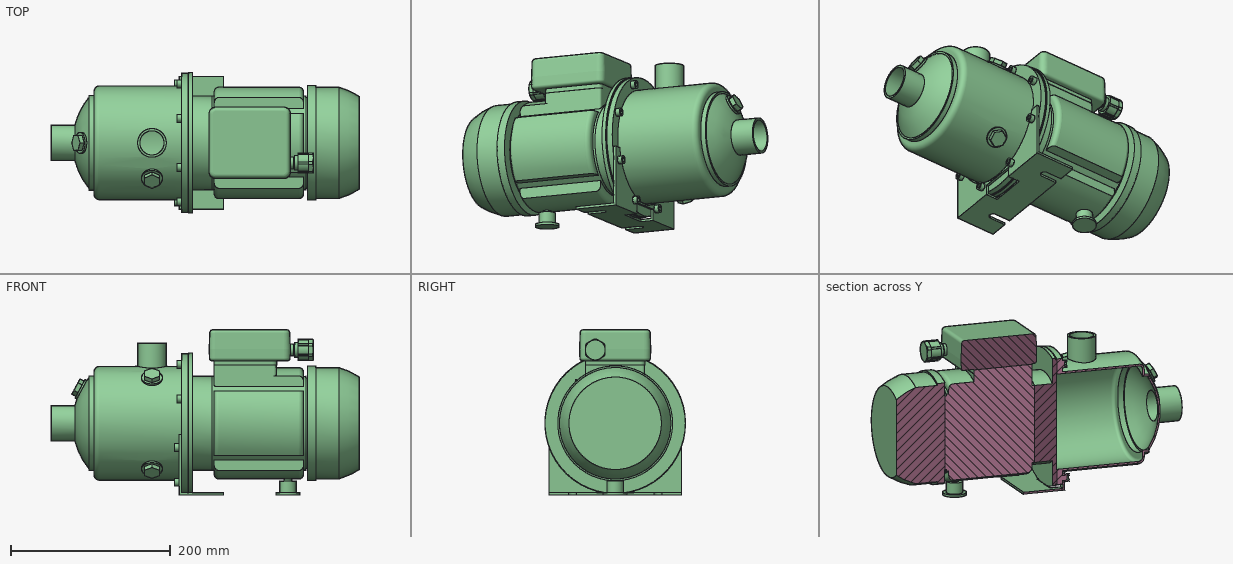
import cadquery as cq
import math


INLET_OD = 44.5
INLET_ID = 38.95
WALL = (INLET_OD - INLET_ID) / 2
OUTLET_OD = 36.0
OUTLET_ID = 30.29
OUTLET_X = 126.5
OUTLET_TOP_Z = 100.5
DOME_RADIUS = 90.0
DOME_CENTER_X = 117.0
DOME_D = 114.0
STEP_D = 119.0
SHELL_D = 143.0
SHELL_FRONT_X = 53.8
SHELL_FILLET = 7.0

CASING_FLANGE_D = 175.0
LANTERN_FLANGE_D = 176.5
FLANGE_X = 163.6
CASING_FLANGE_T = 7.9
SEAL_T = 1.0
SEAL_D = 173.0
LANTERN_FLANGE_T = 5.0
LANTERN_FLANGE_X = FLANGE_X + CASING_FLANGE_T + SEAL_T
LANTERN_FLANGE_END = LANTERN_FLANGE_X + LANTERN_FLANGE_T
SCREW_COUNT = 8
SCREW_CIRCLE_D = 160.0
SCREW_HEAD_D = 10.0
SCREW_HEAD_H = 6.0
SCREW_SHANK_D = 7.0
SCREW_SOCKET_AF = 5.0
SCREW_SOCKET_DEPTH = 3.0

PLUG_HEX_AF = 19.0
PLUG_HEX_H = 6.0
PLUG_WASHER_D = 26.5
PLUG_WASHER_H = 1.5
PLUG_SEAT_DEPTH = 1.5
SIDE_PLUG_ANGLE = 52.0
DOME_PLUG_ANGLE = 28.2

PLATE_T = 3.0
BRACKET_WIDTH = 166.5
BRACKET_TOP_Z = -14.2
FLOOR_Z = -90.0
BRACKET_LENGTH = 55.6
BRACKET_BORE_D = 147.0
NOTCH_WIDTH = 46.0
NOTCH_HEIGHT = 14.4
SLOT_WIDTH = 10.0
SLOT_DEPTH = 27.0
SLOT_Y = 53.7

CORE_D = 118.0
LANTERN_END_X = 201.6
MOTOR_D = 139.8
MOTOR_START_X = 204.5
MOTOR_END_X = 316.6
MOTOR_FILLET = 6.0
SIDE_PANEL_HALF_Z = 40.4
TOP_LOBE_HALF_Y = 37.0
CORE_END_X = 319.6
SPIGOT_D = 114.0
PEDESTAL_START_X = 204.2
PEDESTAL_END_X = 282.5
PEDESTAL_TOP_Z = 72.8
PEDESTAL_CORNER_R = 3.0
GASKET_END_X = 283.0
GASKET_HALF_Y = 37.5
GASKET_CORNER_R = 5.5

COVER_RIM_D = 144.0
COVER_RIM_X = 321.4
COVER_RIM_END_X = 331.9
COVER_D = 139.8
COVER_TAPER_X = 360.8
COVER_END_D = 116.0
COVER_BULGE = 1.2
TOTAL_LENGTH = 386.6

BOX_LENGTH = 102.0
BOX_WIDTH = 89.5
BOX_CENTER_X = 249.1
BOX_BOTTOM_Z = 78.2
BOX_TOP_Z = 117.5
BOX_PARTING_Z = 92.7
BOX_DRAFT = 2.0
BOX_CORNER_R = 8.0
BOX_TOP_FILLET = 4.5
BOX_BOTTOM_FILLET = 3.5
GLAND_Y = -25.0
GLAND_Z = 92.0
GLAND_STEM_D = 15.0
GLAND_GROOVE_D = 13.0
GLAND_COLLAR_D = 18.6
GLAND_GROOVE_X = 303.8
GLAND_COLLAR_X = 305.2
GLAND_NUT_X = 309.7
GLAND_HEX_X = 323.0
GLAND_END_X = 328.8
GLAND_HEX_AF = 25.0
GLAND_CORNER_D = 27.0
GLAND_NUT_D = 25.0
GLAND_RIB_WIDTH = 2.4
GLAND_CHAMFER = 1.0

FOOT_X = 296.9
FOOT_DISC_D = 30.0
FOOT_DISC_T = 3.0
FOOT_BODY_D = 21.0
FOOT_BODY_TOP_Z = -72.6
FOOT_STEM_D = 10.0


def rod(x_start, x_end, diameter, y=0.0, z=0.0):
    """Cylinder parallel to the shaft axis."""
    return (
        cq.Workplane("YZ", origin=(x_start, y, z))
        .circle(diameter / 2)
        .extrude(x_end - x_start)
    )


def pillar(z_start, z_end, diameter, x, y=0.0):
    """Upright cylinder."""
    return cq.Workplane("XY", origin=(x, y, z_start)).circle(diameter / 2).extrude(z_end - z_start)


def block(x_range, y_range, z_range):
    """Axis-aligned box given by its limits."""
    size = [high - low for low, high in (x_range, y_range, z_range)]
    corner = (x_range[0], y_range[0], z_range[0])
    return cq.Workplane("XY").box(*size, centered=False).translate(corner)


def dome_x(sphere_radius, radius):
    """X of the dome sphere at a given distance from the shaft axis."""
    return DOME_CENTER_X - math.sqrt(sphere_radius**2 - radius**2)


def casing_form(pipe_r, sphere_r, dome_r, step_r, shell_r, shell_front_x, corner_r, end_x):
    """Revolved inlet pipe, dome, step and cylindrical shell."""
    middle_r = (pipe_r + dome_r) / 2
    step_x = dome_x(sphere_r, dome_r)
    corner_offset = corner_r * (1 - math.sqrt(0.5))
    profile = (
        cq.Workplane("XY")
        .lineTo(0, pipe_r)
        .lineTo(dome_x(sphere_r, pipe_r), pipe_r)
        .threePointArc((dome_x(sphere_r, middle_r), middle_r), (step_x, dome_r))
        .lineTo(step_x, step_r)
        .lineTo(shell_front_x, step_r)
        .lineTo(shell_front_x, shell_r - corner_r)
        .threePointArc(
            (shell_front_x + corner_offset, shell_r - corner_offset),
            (shell_front_x + corner_r, shell_r),
        )
        .lineTo(end_x, shell_r)
        .lineTo(end_x, 0)
        .close()
    )
    return profile.revolve(360, (0, 0, 0), (1, 0, 0))


def screw_positions():
    """(y, z) of the flange screws, spaced evenly and straddling the vertical plane."""
    pitch = 2 * math.pi / SCREW_COUNT
    for index in range(SCREW_COUNT):
        angle = (index + 0.5) * pitch
        yield SCREW_CIRCLE_D / 2 * math.cos(angle), SCREW_CIRCLE_D / 2 * math.sin(angle)


def screw(y, z):
    """Socket-head screw; the lower ones clamp the bracket plate."""
    seat_x = FLANGE_X - PLATE_T if z < BRACKET_TOP_Z else FLANGE_X
    head_x = seat_x - SCREW_HEAD_H
    socket = (
        cq.Workplane("YZ", origin=(head_x, y, z))
        .transformed(rotate=(0, 0, 90))
        .polygon(6, SCREW_SOCKET_AF / math.cos(math.pi / 6))
        .extrude(SCREW_SOCKET_DEPTH)
    )
    head = rod(head_x, seat_x, SCREW_HEAD_D, y, z).cut(socket)
    shank = rod(seat_x, FLANGE_X + CASING_FLANGE_T, SCREW_SHANK_D, y, z)
    return head.union(shank)


def plug(center, outward, surface_radius, hex_direction):
    """Hexagon plug with a washer, standing on a round surface about the given center."""
    seat = surface_radius - PLUG_SEAT_DEPTH
    origin = cq.Vector(*center) + cq.Vector(*outward) * seat
    plane = cq.Plane(origin=origin.toTuple(), xDir=hex_direction, normal=outward)
    washer_top = PLUG_SEAT_DEPTH + PLUG_WASHER_H
    washer = cq.Workplane(plane).circle(PLUG_WASHER_D / 2).extrude(washer_top)
    head = (
        cq.Workplane(plane)
        .polygon(6, PLUG_HEX_AF / math.cos(math.pi / 6))
        .extrude(washer_top + PLUG_HEX_H)
    )
    return washer.union(head)


def make_casing():
    flange_end = FLANGE_X + CASING_FLANGE_T
    outside = casing_form(
        INLET_OD / 2, DOME_RADIUS, DOME_D / 2, STEP_D / 2, SHELL_D / 2,
        SHELL_FRONT_X, SHELL_FILLET, flange_end,
    )
    step_bore_r = STEP_D / 2 - WALL
    cavity = casing_form(
        INLET_ID / 2, DOME_RADIUS - WALL, DOME_D / 2 - WALL, step_bore_r, SHELL_D / 2 - WALL,
        SHELL_FRONT_X + WALL, SHELL_FILLET - WALL, flange_end,
    )
    outlet = pillar(0, OUTLET_TOP_Z, OUTLET_OD, OUTLET_X)
    outlet_bore = pillar(0, OUTLET_TOP_Z, OUTLET_ID, OUTLET_X)
    casing = outside.union(rod(FLANGE_X, flange_end, CASING_FLANGE_D)).union(outlet)
    casing = casing.cut(cavity).cut(outlet_bore)

    for side in (1, -1):
        tilt = math.radians(side * SIDE_PLUG_ANGLE)
        outward = (0, -math.cos(tilt), math.sin(tilt))
        along_rim = (0, math.sin(tilt), math.cos(tilt))
        casing = casing.union(plug((OUTLET_X, 0, 0), outward, SHELL_D / 2, along_rim))

    tilt = math.radians(DOME_PLUG_ANGLE)
    outward = (-math.cos(tilt), 0, math.sin(tilt))
    up_the_dome = (math.sin(tilt), 0, math.cos(tilt))
    casing = casing.union(plug((DOME_CENTER_X, 0, 0), outward, DOME_RADIUS, up_the_dome))

    for y, z in screw_positions():
        casing = casing.union(screw(y, z))
    return casing


def make_bracket():
    front_x = FLANGE_X - PLATE_T
    end_x = front_x + BRACKET_LENGTH
    half_width = BRACKET_WIDTH / 2
    upright = block((front_x, FLANGE_X), (-half_width, half_width), (FLOOR_Z, BRACKET_TOP_Z))
    upright = upright.cut(rod(front_x, FLANGE_X, BRACKET_BORE_D))
    for y, z in screw_positions():
        upright = upright.cut(rod(front_x, FLANGE_X, SCREW_SHANK_D, y, z))
    foot_plate = block((front_x, end_x), (-half_width, half_width), (FLOOR_Z, FLOOR_Z + PLATE_T))

    notch = block(
        (front_x, LANTERN_FLANGE_END),
        (-NOTCH_WIDTH / 2, NOTCH_WIDTH / 2),
        (FLOOR_Z, FLOOR_Z + NOTCH_HEIGHT),
    )
    bracket = upright.union(foot_plate).cut(notch)
    slot_center_x = end_x - SLOT_DEPTH + SLOT_WIDTH / 2
    for y in (-SLOT_Y, SLOT_Y):
        slot = block(
            (slot_center_x, end_x),
            (y - SLOT_WIDTH / 2, y + SLOT_WIDTH / 2),
            (FLOOR_Z, FLOOR_Z + PLATE_T),
        )
        slot_end = pillar(FLOOR_Z, FLOOR_Z + PLATE_T, SLOT_WIDTH, slot_center_x, y)
        bracket = bracket.cut(slot).cut(slot_end)
    return bracket


def make_lantern():
    seal = rod(FLANGE_X + CASING_FLANGE_T, LANTERN_FLANGE_X, SEAL_D)
    flange = rod(LANTERN_FLANGE_X, LANTERN_FLANGE_END, LANTERN_FLANGE_D)
    return seal.union(flange).union(rod(LANTERN_FLANGE_END, LANTERN_END_X, CORE_D))


def make_motor():
    shell = rod(MOTOR_START_X, MOTOR_END_X, MOTOR_D).edges().fillet(MOTOR_FILLET)
    reach = MOTOR_D / 2
    for y_side in (1, -1):
        for z_side in (1, -1):
            corner = block(
                (MOTOR_START_X, MOTOR_END_X),
                sorted((y_side * TOP_LOBE_HALF_Y, y_side * reach)),
                sorted((z_side * SIDE_PANEL_HALF_Z, z_side * reach)),
            )
            shell = shell.cut(corner)

    lobe_front = block(
        (MOTOR_START_X, PEDESTAL_START_X + MOTOR_FILLET),
        (-TOP_LOBE_HALF_Y, TOP_LOBE_HALF_Y),
        (SIDE_PANEL_HALF_Z, reach),
    )
    shell = shell.cut(lobe_front)
    pedestal = block(
        (PEDESTAL_START_X, PEDESTAL_END_X),
        (-TOP_LOBE_HALF_Y, TOP_LOBE_HALF_Y),
        (0, PEDESTAL_TOP_Z),
    ).edges("|Z").fillet(PEDESTAL_CORNER_R)
    gasket = block(
        (PEDESTAL_START_X, GASKET_END_X),
        (-GASKET_HALF_Y, GASKET_HALF_Y),
        (PEDESTAL_TOP_Z, BOX_BOTTOM_Z),
    ).edges("|Z").fillet(GASKET_CORNER_R)
    core = rod(LANTERN_END_X, CORE_END_X, CORE_D)
    spigot = rod(CORE_END_X, COVER_RIM_X, SPIGOT_D)
    return shell.union(core).union(pedestal).union(gasket).union(spigot)


def make_fan_cover():
    cover_r = COVER_D / 2
    end_r = COVER_END_D / 2
    middle = ((COVER_TAPER_X + TOTAL_LENGTH) / 2, (cover_r + end_r) / 2 + COVER_BULGE)
    return (
        cq.Workplane("XY")
        .moveTo(COVER_RIM_X, 0)
        .lineTo(COVER_RIM_X, COVER_RIM_D / 2)
        .lineTo(COVER_RIM_END_X, COVER_RIM_D / 2)
        .lineTo(COVER_RIM_END_X, cover_r)
        .lineTo(COVER_TAPER_X, cover_r)
        .threePointArc(middle, (TOTAL_LENGTH, end_r))
        .lineTo(TOTAL_LENGTH, 0)
        .close()
        .revolve(360, (0, 0, 0), (1, 0, 0))
    )


def make_terminal_box():
    def half(height):
        outline = cq.Sketch().rect(BOX_LENGTH, BOX_WIDTH).vertices().fillet(BOX_CORNER_R)
        return (
            cq.Workplane("XY", origin=(BOX_CENTER_X, 0, BOX_PARTING_Z))
            .placeSketch(outline)
            .extrude(height, taper=BOX_DRAFT)
        )

    lid = half(BOX_TOP_Z - BOX_PARTING_Z).faces(">Z").edges().fillet(BOX_TOP_FILLET)
    base = half(BOX_BOTTOM_Z - BOX_PARTING_Z).faces("<Z").edges().fillet(BOX_BOTTOM_FILLET)
    return lid.union(base)


def make_cable_gland(terminal_box):
    def section(x_start, x_end, diameter):
        return rod(x_start, x_end, diameter, GLAND_Y, GLAND_Z)

    hexagon = (
        cq.Workplane("YZ", origin=(GLAND_HEX_X, GLAND_Y, GLAND_Z))
        .transformed(rotate=(0, 0, 90))
        .polygon(6, GLAND_HEX_AF / math.cos(math.pi / 6))
        .extrude(GLAND_END_X - GLAND_HEX_X)
    )
    rounded = section(GLAND_HEX_X, GLAND_END_X, GLAND_CORNER_D).faces(">X").chamfer(GLAND_CHAMFER)
    gland = hexagon.intersect(rounded)
    gland = gland.union(section(GLAND_NUT_X, GLAND_HEX_X, GLAND_NUT_D))
    for angle in (30, 90, 150):
        rib = (
            cq.Workplane("YZ", origin=(GLAND_NUT_X, GLAND_Y, GLAND_Z))
            .transformed(rotate=(0, 0, angle))
            .rect(GLAND_CORNER_D, GLAND_RIB_WIDTH)
            .extrude(GLAND_HEX_X - GLAND_NUT_X)
        )
        gland = gland.union(rib)
    gland = gland.union(section(GLAND_COLLAR_X, GLAND_NUT_X, GLAND_COLLAR_D))
    gland = gland.union(section(GLAND_GROOVE_X, GLAND_COLLAR_X, GLAND_GROOVE_D))
    stem = section(BOX_CENTER_X + BOX_LENGTH / 2 - BOX_CORNER_R, GLAND_GROOVE_X, GLAND_STEM_D)
    return gland.union(stem.cut(terminal_box))


def make_rear_foot(motor):
    disc_top = FLOOR_Z + FOOT_DISC_T
    foot = pillar(FLOOR_Z, disc_top, FOOT_DISC_D, FOOT_X)
    foot = foot.union(pillar(disc_top, FOOT_BODY_TOP_Z, FOOT_BODY_D, FOOT_X))
    stem = pillar(FOOT_BODY_TOP_Z, FOOT_STEM_D / 2 - MOTOR_D / 2, FOOT_STEM_D, FOOT_X)
    return foot.union(stem.cut(motor))


casing = make_casing()
bracket = make_bracket()
lantern = make_lantern()
motor = make_motor()
fan_cover = make_fan_cover()
terminal_box = make_terminal_box()
cable_gland = make_cable_gland(terminal_box)
rear_foot = make_rear_foot(motor)

result = cq.Compound.makeCompound([
    casing.val(),
    bracket.val(),
    lantern.val(),
    motor.val(),
    fan_cover.val(),
    terminal_box.val(),
    cable_gland.val(),
    rear_foot.val(),
])